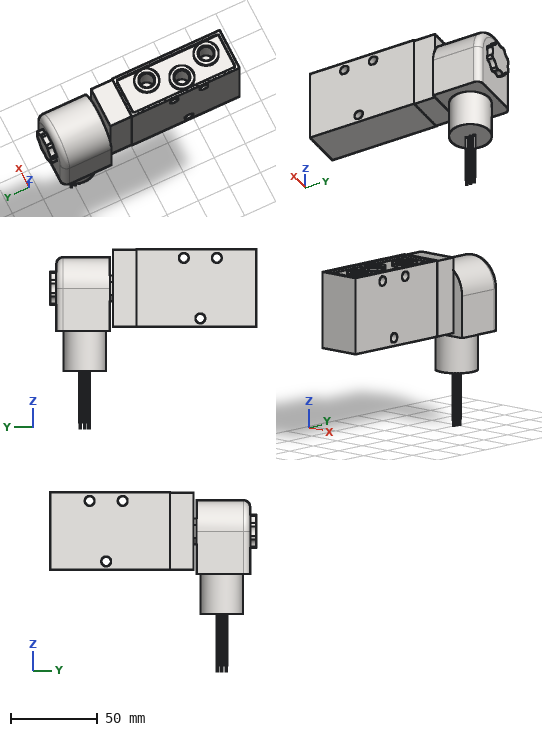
import cadquery as cq
import math


HOUSING_WIDTH = 26.2
HOUSING_LENGTH = 69.2
HOUSING_HEIGHT = 45.0

RECESS_MARGIN = 1.8
RECESS_DEPTH = 1.4
RECESS_CORNER_RADIUS = 1.0

PORT_BOSS_DIAMETER = 14.5
PORT_MOUTH_DIAMETER = 9.8
PORT_BORE_DIAMETER = 8.6
PORT_CONE_DEPTH = (PORT_MOUTH_DIAMETER - PORT_BORE_DIAMETER) / 2
PORT_DEPTH = 14.3
PORT_SIDE_OFFSET = 3.6
PORT_PITCH = 19.1
MIDDLE_PORT_Y = 32.5
PORT_CENTRES = [
    (PORT_SIDE_OFFSET, MIDDLE_PORT_Y - PORT_PITCH),
    (-PORT_SIDE_OFFSET, MIDDLE_PORT_Y),
    (PORT_SIDE_OFFSET, MIDDLE_PORT_Y + PORT_PITCH),
]

MOUNT_HOLE_DIAMETER = 5.5
UPPER_MOUNT_DEPTH = 5.1
MOUNT_HOLE_DROP = 35.0
MOUNT_HOLE_CENTRES = [
    (MIDDLE_PORT_Y - PORT_PITCH / 2, -UPPER_MOUNT_DEPTH),
    (MIDDLE_PORT_Y + PORT_PITCH / 2, -UPPER_MOUNT_DEPTH),
    (MIDDLE_PORT_Y, -UPPER_MOUNT_DEPTH - MOUNT_HOLE_DROP),
]

CAP_STEP = 0.4
CAP_LENGTH = 13.7
CAP_END_Y = HOUSING_LENGTH + CAP_LENGTH

OVERALL_LENGTH = 119.3
AXIS_Z = -22.7
NECK_LENGTH = 1.8
NECK_CORNER_DIAMETER = 15.0
COIL_WIDTH = 36.0
COIL_LENGTH = 31.0
COIL_DROP = 24.8
COIL_FILLET = 4.0
COIL_START_Y = CAP_END_Y + NECK_LENGTH
COIL_END_Y = COIL_START_Y + COIL_LENGTH
COIL_BOTTOM_Z = AXIS_Z - COIL_DROP

KNOB_DIAMETER = 20.0
KNOB_LENGTH = OVERALL_LENGTH - COIL_END_Y
KNOB_CHAMFER = 0.2
SCALLOP_COUNT = 8
SCALLOP_DIAMETER = 9.5
SCALLOP_WIDTH = 5.6

OVERALL_HEIGHT = 103.7
OUTLET_DIAMETER = 24.8
OUTLET_LENGTH = 23.0
OUTLET_Y = 99.3
WIRE_COUNT = 3
WIRE_DIAMETER = 1.3
WIRE_PITCH = 2.5
STRIPPED_DIAMETER = 1.0
STRIPPED_LENGTH = 3.6
OUTLET_BOTTOM_Z = COIL_BOTTOM_Z - OUTLET_LENGTH
WIRE_LENGTH = OVERALL_HEIGHT + OUTLET_BOTTOM_Z


def plane_across_y(y):
    """Plane at the given Y with local x along -X, local y along Z and its normal along +Y."""
    return cq.Workplane(cq.Plane(origin=(0, y, 0), xDir=(-1, 0, 0), normal=(0, 1, 0)))


def make_port_recess():
    """Sunken area of the top face."""
    return (
        cq.Workplane("XY")
        .center(0, HOUSING_LENGTH / 2)
        .rect(HOUSING_WIDTH - 2 * RECESS_MARGIN, HOUSING_LENGTH - 2 * RECESS_MARGIN)
        .extrude(-RECESS_DEPTH)
        .edges("|Z")
        .fillet(RECESS_CORNER_RADIUS)
    )


def make_port_bore():
    """Blind bore with a conical mouth, opening upward at the origin."""
    mouth_radius = PORT_MOUTH_DIAMETER / 2
    bore_radius = PORT_BORE_DIAMETER / 2
    return (
        cq.Workplane("XZ")
        .polyline([
            (0, 0),
            (mouth_radius, 0),
            (bore_radius, -PORT_CONE_DEPTH),
            (bore_radius, -PORT_DEPTH),
            (0, -PORT_DEPTH),
        ])
        .close()
        .revolve(360, (0, 0, 0), (0, 1, 0))
    )


def make_housing():
    """Valve housing with recessed port face, ports and mounting holes."""
    housing = cq.Workplane("XY").box(
        HOUSING_WIDTH, HOUSING_LENGTH, HOUSING_HEIGHT, centered=(True, False, False)
    ).translate((0, 0, -HOUSING_HEIGHT))
    bosses = (
        cq.Workplane("XY")
        .pushPoints(PORT_CENTRES)
        .circle(PORT_BOSS_DIAMETER / 2)
        .extrude(-RECESS_DEPTH)
    )
    housing = housing.cut(make_port_recess().cut(bosses))
    for x, y in PORT_CENTRES:
        housing = housing.cut(make_port_bore().translate((x, y, 0)))
    mount_holes = (
        cq.Workplane("YZ")
        .pushPoints(MOUNT_HOLE_CENTRES)
        .circle(MOUNT_HOLE_DIAMETER / 2)
        .extrude(HOUSING_WIDTH, both=True)
    )
    return housing.cut(mount_holes)


def make_end_cap():
    """Plain block between the housing and the solenoid."""
    return cq.Workplane("XY").box(
        HOUSING_WIDTH - 2 * CAP_STEP,
        CAP_LENGTH,
        HOUSING_HEIGHT - CAP_STEP,
        centered=(True, False, False),
    ).translate((0, HOUSING_LENGTH, -HOUSING_HEIGHT))


def make_neck():
    """Hexagon with corners at top and bottom, joining the coil to the end cap."""
    return (
        plane_across_y(CAP_END_Y)
        .center(0, AXIS_Z)
        .transformed(rotate=(0, 0, 90))
        .polygon(6, NECK_CORNER_DIAMETER)
        .extrude(NECK_LENGTH)
    )


def make_coil():
    """Coil casing with a half-round top; its far edge is rounded except along the bottom."""
    radius = COIL_WIDTH / 2
    return (
        plane_across_y(COIL_START_Y)
        .moveTo(-radius, COIL_BOTTOM_Z)
        .lineTo(-radius, AXIS_Z)
        .threePointArc((0, AXIS_Z + radius), (radius, AXIS_Z))
        .lineTo(radius, COIL_BOTTOM_Z)
        .close()
        .extrude(COIL_LENGTH)
        .faces(">Y")
        .edges("not <Z")
        .fillet(COIL_FILLET)
    )


def make_knob():
    """Round knob with finger scallops around its rim."""
    knob = (
        plane_across_y(COIL_END_Y)
        .center(0, AXIS_Z)
        .circle(KNOB_DIAMETER / 2)
        .extrude(KNOB_LENGTH)
        .faces(">Y")
        .chamfer(KNOB_CHAMFER)
    )
    half_width = SCALLOP_WIDTH / 2
    rim_distance = math.sqrt((KNOB_DIAMETER / 2) ** 2 - half_width ** 2)
    scallop_offset = math.sqrt((SCALLOP_DIAMETER / 2) ** 2 - half_width ** 2)
    scallops = (
        plane_across_y(COIL_END_Y)
        .center(0, AXIS_Z)
        .polarArray(rim_distance + scallop_offset, 0, 360, SCALLOP_COUNT)
        .circle(SCALLOP_DIAMETER / 2)
        .extrude(KNOB_LENGTH)
    )
    return knob.cut(scallops)


def make_outlet():
    """Round cable outlet under the coil."""
    return (
        cq.Workplane("XY", origin=(0, OUTLET_Y, COIL_BOTTOM_Z))
        .circle(OUTLET_DIAMETER / 2)
        .extrude(-OUTLET_LENGTH)
    )


def make_wire(y):
    """Insulated wire hanging from the outlet, with a thinner stripped end."""
    return (
        cq.Workplane("XY", origin=(0, y, OUTLET_BOTTOM_Z))
        .circle(WIRE_DIAMETER / 2)
        .extrude(-(WIRE_LENGTH - STRIPPED_LENGTH))
        .faces("<Z")
        .workplane()
        .circle(STRIPPED_DIAMETER / 2)
        .extrude(STRIPPED_LENGTH)
    )


def make_solenoid():
    """Neck, coil, knob, cable outlet and wires as one solid."""
    solenoid = make_coil().union(make_neck()).union(make_knob()).union(make_outlet())
    for index in range(WIRE_COUNT):
        wire_y = OUTLET_Y + (index - (WIRE_COUNT - 1) / 2) * WIRE_PITCH
        solenoid = solenoid.union(make_wire(wire_y))
    return solenoid


housing = make_housing()
end_cap = make_end_cap()
solenoid = make_solenoid()

result = cq.Compound.makeCompound([housing.val(), end_cap.val(), *solenoid.vals()])